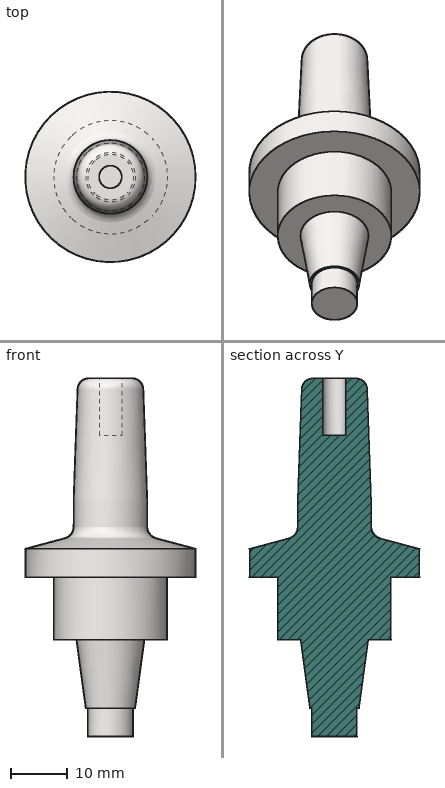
import cadquery as cq
import math

height = 63.0
tip_top = 5.0
lower_cone_top = 17.0
flange_bottom = 28.0
flange_top = 33.0
stem_taper_start = 41.6

tip_radius = 8.0 / 2
lower_cone_small_radius = 8.7 / 2
lower_cone_large_radius = 12.0 / 2
boss_radius = 20.0 / 2
flange_radius = 30.0 / 2
stem_radius = 13.0 / 2
stem_top_radius = 11.45 / 2
hole_radius = 4.0 / 2

flange_slope = math.radians(15)
blend_radius = 2.0
hole_depth = 10.0

stem_base = flange_top + (flange_radius - stem_radius) * math.tan(flange_slope)


def turned_body():
    """Revolve the half outline of the stepped spindle about Z."""
    outline = [
        (0, 0),
        (tip_radius, 0),
        (tip_radius, tip_top),
        (lower_cone_small_radius, tip_top),
        (lower_cone_large_radius, lower_cone_top),
        (boss_radius, lower_cone_top),
        (boss_radius, flange_bottom),
        (flange_radius, flange_bottom),
        (flange_radius, flange_top),
        (stem_radius, stem_base),
        (stem_radius, stem_taper_start),
        (stem_top_radius, height),
        (0, height),
    ]
    return cq.Workplane("XZ").polyline(outline).close().revolve(360, (0, 0), (0, 1))


def round_edge_at(body, radius, z):
    """Round the circular edge of the given radius at height z."""
    reach = radius + 0.05
    half_band = 0.05
    corner_low = (-reach, -reach, z - half_band)
    corner_high = (reach, reach, z + half_band)
    return body.edges("%CIRCLE").edges(cq.selectors.BoxSelector(corner_low, corner_high)).fillet(blend_radius)


body = turned_body()
body = round_edge_at(body, stem_radius, stem_base)
body = round_edge_at(body, stem_top_radius, height)

result = body.faces(">Z").workplane().hole(2 * hole_radius, hole_depth)